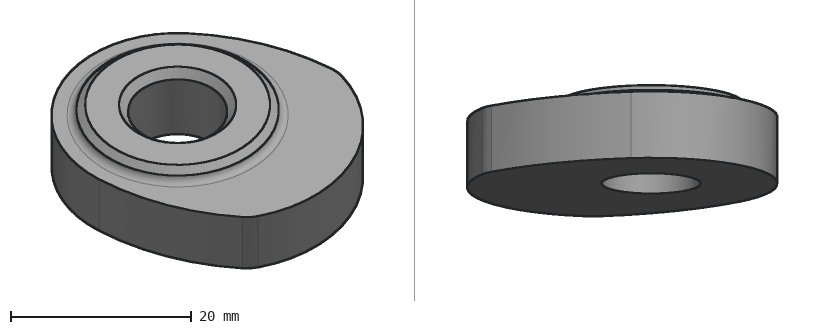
import cadquery as cq
import math

plate_height = 7.5
total_height = 9.0
overall_width = 33.45
hub_radius = 13.98
nose_radius = 16.05
flank_radius = 30.0
flank_angle = 62.3
corner_radius = 4.68

collar_top_radius = 10.25
collar_edge_radius = 11.2
collar_foot_radius = 12.25
collar_edge_height = 8.25

bore_radius = 5.5
bore_chamfer = 1.0


def point_from(center, toward, distance):
    """Point at a distance from center, in the direction of another point."""
    dx = toward[0] - center[0]
    dy = toward[1] - center[1]
    length = math.hypot(dx, dy)
    return (center[0] + dx / length * distance, center[1] + dy / length * distance)


def arc_middle(center, start, end, radius):
    """Middle of the minor arc between two points."""
    chord_middle = ((start[0] + end[0]) / 2, (start[1] + end[1]) / 2)
    return point_from(center, chord_middle, radius)


def mirrored(point):
    """Reflect a point across the symmetry line X = Y."""
    return (point[1], point[0])


def circle_crossing(center_a, radius_a, center_b, radius_b):
    """Crossing of two circles lying to the right of the direction from a to b."""
    dx = center_b[0] - center_a[0]
    dy = center_b[1] - center_a[1]
    gap = math.hypot(dx, dy)
    along = (radius_a**2 - radius_b**2 + gap**2) / (2 * gap)
    aside = math.sqrt(radius_a**2 - along**2)
    return (
        center_a[0] + (along * dx + aside * dy) / gap,
        center_a[1] + (along * dy - aside * dx) / gap,
    )


def make_plate():
    origin = (0.0, 0.0)
    nose_offset = overall_width - hub_radius - nose_radius
    nose_center = (nose_offset, nose_offset)
    angle = math.radians(flank_angle)
    hub_tangent = (hub_radius * math.cos(angle), -hub_radius * math.sin(angle))
    flank_center = point_from(hub_tangent, origin, flank_radius)

    corner_center = circle_crossing(
        nose_center, nose_radius - corner_radius, flank_center, flank_radius - corner_radius
    )
    flank_end = point_from(flank_center, corner_center, flank_radius)
    nose_start = point_from(nose_center, corner_center, nose_radius)

    flank_middle = arc_middle(flank_center, hub_tangent, flank_end, flank_radius)
    corner_middle = arc_middle(corner_center, flank_end, nose_start, corner_radius)
    nose_tip = point_from(nose_center, (overall_width, overall_width), nose_radius)
    hub_tip = point_from(origin, (-overall_width, -overall_width), hub_radius)

    return (
        cq.Workplane("XY")
        .moveTo(*hub_tangent)
        .threePointArc(flank_middle, flank_end)
        .threePointArc(corner_middle, nose_start)
        .threePointArc(nose_tip, mirrored(nose_start))
        .threePointArc(mirrored(corner_middle), mirrored(flank_end))
        .threePointArc(mirrored(flank_middle), mirrored(hub_tangent))
        .threePointArc(hub_tip, hub_tangent)
        .close()
        .extrude(plate_height)
    )


def make_collar():
    foot_width = collar_foot_radius - collar_edge_radius
    foot_height = collar_edge_height - plate_height
    foot_curve = (foot_width**2 + foot_height**2) / (2 * foot_height)
    foot_center = (collar_foot_radius, plate_height + foot_curve)
    foot_start = (collar_foot_radius, plate_height)
    foot_end = (collar_edge_radius, collar_edge_height)
    foot_middle = arc_middle(foot_center, foot_start, foot_end, foot_curve)
    return (
        cq.Workplane("XZ")
        .lineTo(collar_foot_radius, 0)
        .lineTo(*foot_start)
        .threePointArc(foot_middle, foot_end)
        .lineTo(collar_top_radius, total_height)
        .lineTo(0, total_height)
        .close()
        .revolve(360, (0, 0), (0, 1))
    )


def make_bore():
    return (
        cq.Workplane("XZ")
        .lineTo(bore_radius, 0)
        .lineTo(bore_radius, total_height - bore_chamfer)
        .lineTo(bore_radius + bore_chamfer, total_height)
        .lineTo(0, total_height)
        .close()
        .revolve(360, (0, 0), (0, 1))
    )


result = make_plate().union(make_collar()).cut(make_bore())